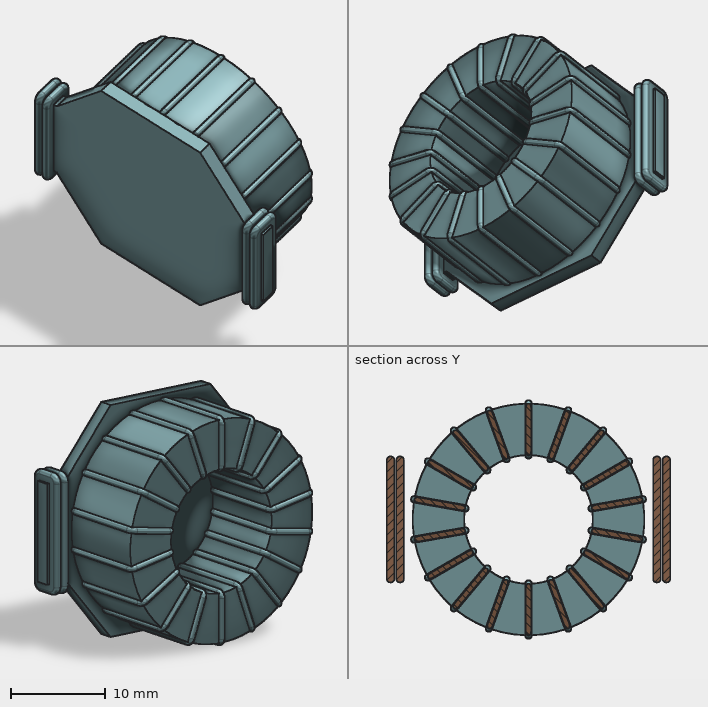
import cadquery as cq
import math

length = 30.5
plate_height = 25.4
plate_thickness = 1.6
panel_half_width = 12.72
flat_half_width = 6.7
tab_half_height = 5.52

clip_thickness = 0.85
clip_overhang = 1.15
clip_corner_radius = 1.0
clip_pitch = 1.0
clip_end_gap = 0.27

core_radius = 12.23
core_bore_radius = 6.77
core_depth = 10.0

wire_diameter = 0.7
winding_count = 18
winding_bend_radius = 0.5


def rounded_frame(plane, width, height, radius):
    """Closed rounded-rectangle path centred on the plane's origin."""
    half_w = width / 2
    half_h = height / 2
    diagonal = radius * (1 - math.sqrt(0.5))
    path = cq.Workplane(plane).moveTo(0, half_h).lineTo(half_w - radius, half_h)
    path = path.threePointArc((half_w - diagonal, half_h - diagonal), (half_w, half_h - radius))
    path = path.lineTo(half_w, radius - half_h)
    path = path.threePointArc((half_w - diagonal, diagonal - half_h), (half_w - radius, -half_h))
    path = path.lineTo(radius - half_w, -half_h)
    path = path.threePointArc((diagonal - half_w, diagonal - half_h), (-half_w, radius - half_h))
    path = path.lineTo(-half_w, half_h - radius)
    path = path.threePointArc((diagonal - half_w, half_h - diagonal), (radius - half_w, half_h))
    return path.close()


def wire_loop(plane, width, height, bend_radius, diameter):
    """Round wire following a rounded-rectangle centreline."""
    path = rounded_frame(plane, width, height, bend_radius)
    start = plane.toWorldCoords((0, height / 2, 0))
    section = cq.Workplane(cq.Plane(origin=start, xDir=plane.zDir, normal=plane.xDir))
    return section.circle(diameter / 2).sweep(path)


def make_panel():
    """Octagonal panel with a rectangular tab on its left and right."""
    half_height = plate_height / 2
    quarter = [
        (length / 2, tab_half_height),
        (panel_half_width, tab_half_height),
        (flat_half_width, half_height),
    ]
    upper = quarter + [(-x, z) for x, z in reversed(quarter)]
    outline = upper + [(x, -z) for x, z in reversed(upper)]
    return cq.Workplane("XZ").polyline(outline).close().extrude(plate_thickness)


def make_clip(x):
    """Slab with a fully rounded rim, standing across the tab at the given X."""
    rim_inset = clip_thickness / 2
    width = plate_thickness + 2 * (clip_overhang - rim_inset)
    height = 2 * (tab_half_height + clip_overhang - rim_inset)
    bend_radius = clip_corner_radius - rim_inset
    plane = cq.Plane(origin=(x, -plate_thickness / 2, 0), xDir=(0, 1, 0), normal=(1, 0, 0))
    web = rounded_frame(plane, width, height, bend_radius).extrude(clip_thickness / 2, both=True)
    return web.union(wire_loop(plane, width, height, bend_radius, clip_thickness))


def make_mounting_plate():
    plate = make_panel()
    outer_x = length / 2 - clip_end_gap - clip_thickness / 2
    for side in (-1, 1):
        for x in (outer_x, outer_x - clip_pitch):
            plate = plate.union(make_clip(side * x))
    return plate


def make_winding(middle_y, angle):
    """Wire loop around the core wall, in the plane through the core axis at this angle."""
    wall = core_radius - core_bore_radius
    middle_radius = (core_radius + core_bore_radius) / 2
    plane = cq.Plane(origin=(middle_radius, middle_y, 0), xDir=(1, 0, 0), normal=(0, 0, 1))
    loop = wire_loop(plane, wall, core_depth, winding_bend_radius, wire_diameter)
    return loop.rotate((0, 0, 0), (0, 1, 0), angle)


def make_wound_core():
    front_y = wire_diameter / 2
    back_y = front_y + core_depth
    core = (
        cq.Workplane("XZ", origin=(0, back_y, 0))
        .circle(core_radius)
        .circle(core_bore_radius)
        .extrude(core_depth)
    )
    first_angle = 90
    for i in range(winding_count):
        angle = first_angle + i * 360 / winding_count
        core = core.union(make_winding((front_y + back_y) / 2, angle))
    return core


mounting_plate = make_mounting_plate()
wound_core = make_wound_core()

result = cq.Compound.makeCompound([mounting_plate.solids().val(), wound_core.solids().val()])